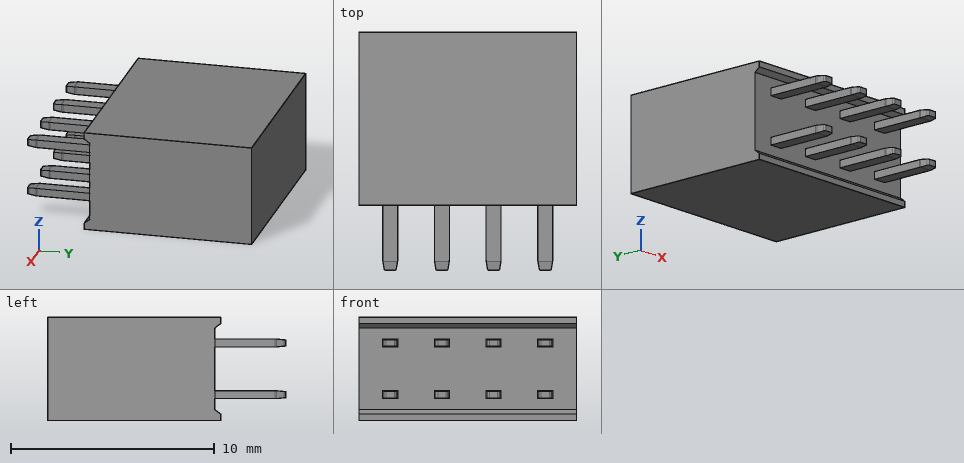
import cadquery as cq

total_length = 11.7

body_width = 10.7
body_height = 5.08
body_length = 8.51
edge_chamfer = 0.01

channel_depth = 0.29
lip_thickness = 0.32
lip_root_thickness = 0.54

columns = 4
rows = 2
pitch = 2.54
pin_width = 0.75
pin_thickness = 0.4
top_taper_length = 0.45
side_taper_length = 0.49
tip_width = 0.58
tip_thickness = 0.3
shoulder_radius = 0.41
tip_radius = 0.1

back_y = total_length / 2
tip_y = -total_length / 2
lip_y = back_y - body_length
channel_y = lip_y + channel_depth


def make_housing():
    block = cq.Workplane("XY").box(body_width, body_length, body_height)
    block = block.translate((0, back_y - body_length / 2, 0)).edges().chamfer(edge_chamfer)

    mouth_z = body_height / 2 - lip_thickness
    floor_z = body_height / 2 - lip_root_thickness
    channel = (
        cq.Workplane("YZ")
        .polyline([(lip_y, -mouth_z), (channel_y, -floor_z), (channel_y, floor_z), (lip_y, mouth_z)])
        .close()
        .extrude(body_width / 2, both=True)
    )
    return block.cut(channel)


def tapered_outline(plane, size, tip_size, taper_length):
    """Draw the symmetric outline of a pin whose end narrows from size to tip_size."""
    taper_y = tip_y + taper_length
    return (
        cq.Workplane(plane)
        .polyline([
            (-size / 2, channel_y),
            (-size / 2, taper_y),
            (-tip_size / 2, tip_y),
            (tip_size / 2, tip_y),
            (size / 2, taper_y),
            (size / 2, channel_y),
        ])
        .close()
    )


def make_pin():
    outline = tapered_outline("XY", pin_width, tip_width, side_taper_length)
    blade = outline.extrude(pin_thickness / 2, both=True)
    blade = blade.edges("|Z").edges("<Y").fillet(tip_radius)
    shoulder_y = tip_y + side_taper_length
    shoulders = cq.selectors.BoxSelector(
        (-pin_width, shoulder_y - tip_radius, -pin_thickness),
        (pin_width, shoulder_y + tip_radius, pin_thickness),
    )
    blade = blade.edges("|Z").edges(shoulders).fillet(shoulder_radius)

    side_outline = tapered_outline("ZY", pin_thickness, tip_thickness, top_taper_length)
    profile = side_outline.extrude(pin_width / 2, both=True)
    return blade.intersect(profile)


result = make_housing()
pin = make_pin()
for column in range(columns):
    for row in range(rows):
        x = (column - (columns - 1) / 2) * pitch
        z = (row - (rows - 1) / 2) * pitch
        result = result.union(pin.translate((x, 0, z)))